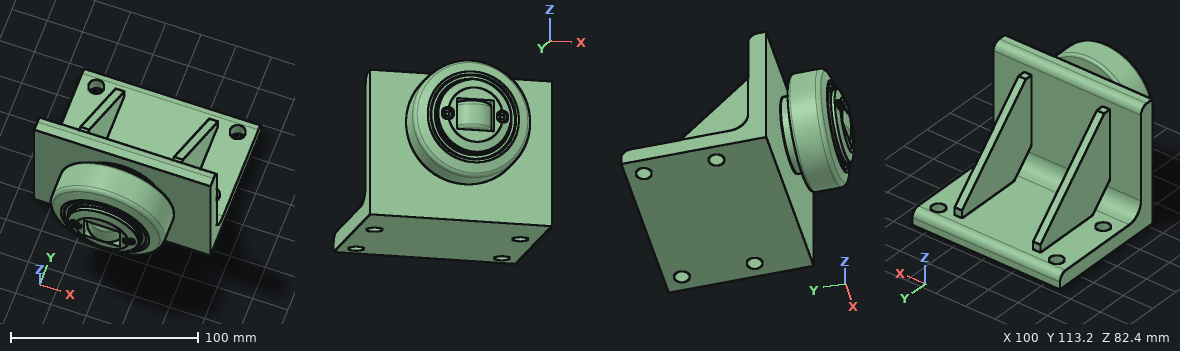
import cadquery as cq
import math

bracket_width = 100.0
leg_length = 80.0
leg_thickness = 10.0
inner_corner_radius = leg_thickness
outer_edge_radius = leg_thickness / 2

mount_hole_diameter = 8.4
mount_hole_edge_distance = 10.0
mount_hole_pitch_y = 40.0

gusset_thickness = leg_thickness / 2
gusset_outer_spacing = 58.0
gusset_inset = 10.0
gusset_reach = leg_length - gusset_inset
gusset_rim = 5.0
gusset_corner_cut = 15.0

axis_height = 50.0
edge_cone_angle = 20

hub_diameter = 42.0
hub_chamfer_length = 0.5
hub_chamfer_depth = 0.2

wheel_diameter = 64.7
wheel_crown = 0.1
wheel_back = 6.7
wheel_front = 26.9
wheel_face_diameter = 50.1
wheel_back_fillet = 1.7
wheel_front_fillet = 2.8
recess_diameter = 47.0
recess_floor_diameter = 46.0
recess_depth = 0.5

ring_diameter = 42.1
ring_back_length = 0.6
ring_front_diameter = 41.5
ring_front = 27.8
cap_diameter = 40.0
cap_face_diameter = 30.0
cap_front = 31.7

window_width = 20.3
window_height = 17
window_corner_radius = 0.9
side_roller_radius = 11.3
side_roller_crown = 0.1
side_roller_length = 16.0
side_roller_fillet = 2.5
overall_front = 33.2

socket_offset = 15.0
socket_diameter = 6.5
socket_floor_diameter = 5.3
socket_depth = 1.6
socket_taper = 0.5
centre_mark_diameter = 2.4
centre_mark_depth = 0.2


def disc(diameter, start, end):
    """Cylinder on the roller axis between two distances in front of the plate."""
    return (
        cq.Workplane("XZ", origin=(0, -start, axis_height))
        .circle(diameter / 2)
        .extrude(end - start)
    )


def tapered_disc(back_diameter, front_diameter, start, end):
    """Frustum on the roller axis between two distances in front of the plate."""
    return (
        cq.Workplane("XZ", origin=(0, -start, axis_height))
        .circle(back_diameter / 2)
        .workplane(offset=end - start)
        .circle(front_diameter / 2)
        .loft()
    )


def coned_disc(diameter, face_diameter, start, end):
    """Disc whose front edge is cut back by a cone that leaves a smaller flat face."""
    cone_width = (diameter - face_diameter) / 2
    cone_depth = cone_width * math.tan(math.radians(edge_cone_angle))
    return disc(diameter, start, end).faces("<Y").chamfer(cone_depth, cone_width)


def make_bracket():
    """Rounded angle bracket with four mounting holes through its base."""
    angle = (
        cq.Workplane("YZ", origin=(-bracket_width / 2, 0, 0))
        .polyline([
            (0, 0),
            (leg_length, 0),
            (leg_length, leg_thickness),
            (leg_thickness, leg_thickness),
            (leg_thickness, leg_length),
            (0, leg_length),
        ])
        .close()
        .extrude(bracket_width)
    )
    bracket = angle.edges(
        cq.selectors.NearestToPointSelector((0, leg_thickness, leg_thickness))
    ).fillet(inner_corner_radius)
    for y, z in [(leg_length, leg_thickness), (leg_thickness, leg_length)]:
        bracket = bracket.edges(
            cq.selectors.NearestToPointSelector((0, y, z))
        ).fillet(outer_edge_radius)

    hole_y = leg_length - mount_hole_edge_distance - mount_hole_pitch_y / 2
    return bracket.cut(
        cq.Workplane("XY", origin=(0, hole_y, 0))
        .rect(bracket_width - 2 * mount_hole_edge_distance, mount_hole_pitch_y, forConstruction=True)
        .vertices()
        .circle(mount_hole_diameter / 2)
        .extrude(leg_thickness)
    )


def make_gusset(x_start):
    """Gusset with a sloping edge and a cut that clears the rounded inner corner."""
    near = leg_thickness
    far = gusset_reach
    return (
        cq.Workplane("YZ", origin=(x_start, 0, 0))
        .polyline([
            (near + gusset_corner_cut, near),
            (far, near),
            (far, near + gusset_rim),
            (near + gusset_rim, far),
            (near, far),
            (near, near + gusset_corner_cut),
        ])
        .close()
        .extrude(gusset_thickness)
    )


def make_hub():
    """Hub with a small chamfer where it meets the plate."""
    end_diameter = hub_diameter - 2 * hub_chamfer_depth
    chamfered_end = tapered_disc(end_diameter, hub_diameter, 0, hub_chamfer_length)
    return chamfered_end.union(disc(hub_diameter, hub_chamfer_length, wheel_back))


def make_wheel():
    """Slightly crowned wheel with rounded edges, a coned front and a shallow front recess."""
    face_radius = wheel_face_diameter / 2
    rim_radius = wheel_diameter / 2 - wheel_crown
    cone_depth = (rim_radius - face_radius) * math.tan(math.radians(edge_cone_angle))
    rim_front = wheel_front - cone_depth
    rim_middle = (wheel_back + rim_front) / 2
    wheel = (
        cq.Workplane("XY")
        .moveTo(0, -wheel_back)
        .lineTo(rim_radius, -wheel_back)
        .threePointArc((wheel_diameter / 2, -rim_middle), (rim_radius, -rim_front))
        .lineTo(face_radius, -wheel_front)
        .lineTo(0, -wheel_front)
        .close()
        .revolve(360, (0, 0, 0), (0, 1, 0))
    )
    wheel = wheel.edges(
        cq.selectors.NearestToPointSelector((-rim_radius, -rim_front, 0))
    ).fillet(wheel_front_fillet)
    wheel = wheel.faces(">Y").edges().fillet(wheel_back_fillet)
    recess = tapered_disc(recess_floor_diameter, recess_diameter, wheel_front - recess_depth, wheel_front)
    return wheel.translate((0, 0, axis_height)).cut(recess)


def make_side_roller(axis_distance):
    """Roller around a vertical axis, slightly crowned, with rounded ends."""
    end_radius = side_roller_radius - side_roller_crown
    half_length = side_roller_length / 2
    roller = (
        cq.Workplane("XZ")
        .moveTo(0, -half_length)
        .lineTo(end_radius, -half_length)
        .threePointArc((side_roller_radius, 0), (end_radius, half_length))
        .lineTo(0, half_length)
        .close()
        .revolve(360, (0, 0, 0), (0, 1, 0))
    )
    rounded_roller = roller.faces("<Z or >Z").edges().fillet(side_roller_fillet)
    return rounded_roller.translate((0, -axis_distance, axis_height))


def make_socket(x):
    """Straight bore with a tapered bottom and a shallow round centre mark."""
    floor_distance = cap_front - socket_depth
    profile = (
        cq.Workplane("XY")
        .polyline([
            (0, -cap_front),
            (socket_diameter / 2, -cap_front),
            (socket_diameter / 2, -floor_distance - socket_taper),
            (socket_floor_diameter / 2, -floor_distance),
            (centre_mark_diameter / 2, -floor_distance),
            (centre_mark_diameter / 2, -floor_distance + centre_mark_depth),
            (0, -floor_distance + centre_mark_depth),
        ])
        .close()
    )
    return profile.revolve(360, (0, 0, 0), (0, 1, 0)).translate((x, 0, axis_height))


result = make_bracket()
for x_start in (-gusset_outer_spacing / 2, gusset_outer_spacing / 2 - gusset_thickness):
    result = result.union(make_gusset(x_start))

result = result.union(make_hub())
result = result.union(make_wheel())
result = result.union(disc(ring_diameter, wheel_back - ring_back_length, wheel_front))
result = result.union(tapered_disc(ring_diameter, ring_front_diameter, wheel_front, ring_front))
result = result.union(coned_disc(cap_diameter, cap_face_diameter, wheel_back, cap_front))

roller_axis_distance = overall_front - side_roller_radius
window = (
    cq.Workplane("XZ", origin=(0, -roller_axis_distance, axis_height))
    .rect(window_width, window_height)
    .extrude(cap_front - roller_axis_distance)
    .edges("|Y")
    .fillet(window_corner_radius)
)
result = result.cut(window).union(make_side_roller(roller_axis_distance))

for x in (-socket_offset, socket_offset):
    result = result.cut(make_socket(x))